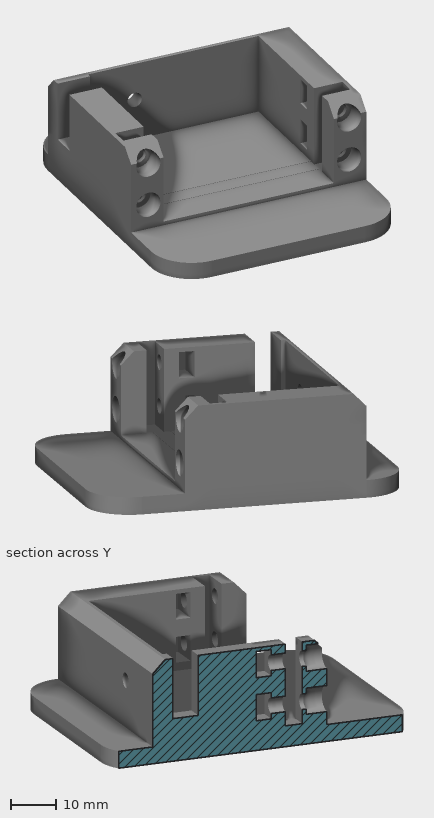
import cadquery as cq

plate_length = 72.0
plate_width = 58.0
plate_thickness = 4.0
corner_radius = 10.0

housing_left = -26.0
housing_right = 16.0
housing_top = 24.0
top_chamfer = 3.0

cavity_left = -22.0
side_wall = 8.0
floor_height = 5.0
strip_left = 4.5
strip_width = 4.0
strip_height = 0.1
floor_step = 0.1

slot_left = 6.0
slot_width = 4.0
slot_skin = 1.0

cable_left = -21.0
cable_width = 6.0
cable_bottom = 10.0

wire_hole_y = -9.5
wire_hole_z = 15.0

hole_diameter = 3.5
head_diameter = 6.0
head_depth = 5.0
screw_inset = 4.25
screw_heights = (10.0, 20.0)
nut_left = -1.0
nut_length = 3.5
nut_height = 6.0
nut_skin = 1.0

half_width = plate_width / 2
cavity_half_width = half_width - side_wall


def block(x_range, y_range, z_range):
    """Box between the given limits on each axis."""
    starts, ends = zip(x_range, y_range, z_range)
    sizes = [end - start for start, end in zip(starts, ends)]
    return cq.Workplane("XY").box(*sizes, centered=False).translate(starts)


def cylinder_along_x(diameter, start, end, y, z):
    """Cylinder parallel to X between two X positions."""
    return cq.Workplane("YZ", origin=(start, y, z)).circle(diameter / 2).extrude(end - start)


def make_plate():
    plate = cq.Workplane("XY").rect(plate_length, plate_width).extrude(plate_thickness)
    return plate.edges("|Z").fillet(corner_radius)


def make_housing():
    housing = block((housing_left, housing_right), (-half_width, half_width), (0, housing_top))
    return housing.faces(">Z").edges("|Y").chamfer(top_chamfer)


def make_cavity():
    """Open space over a floor that drops twice towards +X."""
    y_range = (-cavity_half_width, cavity_half_width)
    strip_right = strip_left + strip_width
    strip_top = floor_height + strip_height
    cavity = block((cavity_left, housing_right), y_range, (strip_top + floor_step, housing_top))
    cavity = cavity.union(block((strip_left, housing_right), y_range, (strip_top, housing_top)))
    return cavity.union(block((strip_right, housing_right), y_range, (floor_height, housing_top)))


def make_wall_slots():
    slot_half_width = half_width - slot_skin
    slot_x = (slot_left, slot_left + slot_width)
    slot_z = (floor_height, housing_top)
    far_slot = block(slot_x, (cavity_half_width, slot_half_width), slot_z)
    return far_slot.union(far_slot.mirror("XZ"))


def make_cable_openings():
    opening = block(
        (cable_left, cable_left + cable_width),
        (-half_width, -cavity_half_width),
        (cable_bottom, housing_top),
    )
    return opening.union(
        cylinder_along_x(hole_diameter, housing_left, cavity_left, wire_hole_y, wire_hole_z)
    )


def make_screw_cut(height):
    """Screw hole, head recess and nut pocket in the +Y wall."""
    screw_y = half_width - screw_inset
    cut = cylinder_along_x(hole_diameter, nut_left, housing_right, screw_y, height)
    head = cylinder_along_x(
        head_diameter, housing_right - head_depth, housing_right, screw_y, height
    )
    nut = block(
        (nut_left, nut_left + nut_length),
        (cavity_half_width, half_width - nut_skin),
        (height - nut_height / 2, height + nut_height / 2),
    )
    return cut.union(head).union(nut)


result = make_plate().union(make_housing())
result = result.cut(make_cavity()).cut(make_wall_slots()).cut(make_cable_openings())
for screw_height in screw_heights:
    screw_cut = make_screw_cut(screw_height)
    result = result.cut(screw_cut).cut(screw_cut.mirror("XZ"))